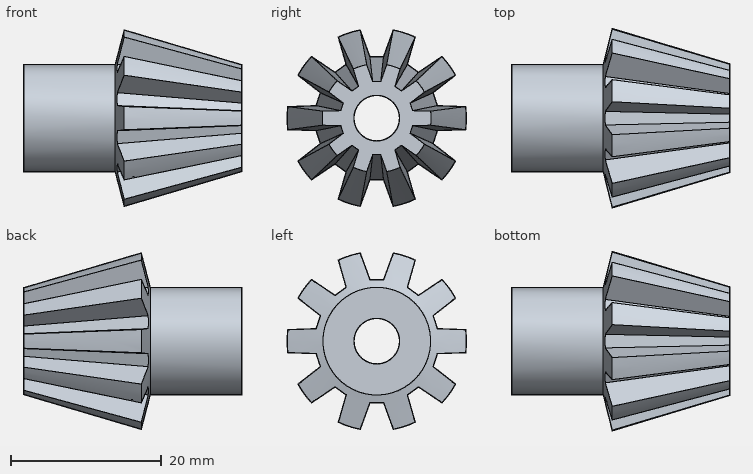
import cadquery as cq

total_length = 28.9
hub_length = 12.13
hub_radius = 7.14
bore_radius = 3.0
tooth_count = 10
tip_radius = 11.9
apex_x = 52.85
back_cone_slope = 0.25

root_radius = 8.17
root_half_width = 0.90
mouth_height = 11.66
mouth_half_width = 2.17

tip_x = hub_length + (tip_radius - hub_radius) * back_cone_slope
root_x = hub_length + (root_radius - hub_radius) * back_cone_slope
small_end_radius = tip_radius * (apex_x - total_length) / (apex_x - tip_x)

cut_margin = 1.0
cutter_height_factor = 1.2


def blank():
    """Hub, back cone and face cone turned in one profile."""
    profile = (
        cq.Workplane("XY")
        .lineTo(0, hub_radius)
        .lineTo(hub_length, hub_radius)
        .lineTo(tip_x, tip_radius)
        .lineTo(total_length, small_end_radius)
        .lineTo(total_length, 0)
        .close()
    )
    return profile.revolve(360, (0, 0, 0), (1, 0, 0))


def space_section(x):
    """Trapezoid (y, z) of a tooth space in the plane at x, shrinking towards the apex."""
    distance = apex_x - x
    floor_y = root_half_width * distance / (apex_x - root_x)
    floor_z = root_radius * distance / (apex_x - root_x)
    mouth_y = mouth_half_width * distance / (apex_x - tip_x)
    mouth_z = mouth_height * distance / (apex_x - tip_x)
    top_z = mouth_z * cutter_height_factor
    flank_slope = (mouth_y - floor_y) / (mouth_z - floor_z)
    top_y = floor_y + (top_z - floor_z) * flank_slope
    return [(-floor_y, floor_z), (floor_y, floor_z), (top_y, top_z), (-top_y, top_z)]


def tooth_space():
    """Tapered cutter for the tooth space at the +Z side."""
    start_x = hub_length - cut_margin
    end_x = total_length + cut_margin
    return (
        cq.Workplane("YZ", origin=(start_x, 0, 0))
        .polyline(space_section(start_x))
        .close()
        .workplane(offset=end_x - start_x)
        .polyline(space_section(end_x))
        .close()
        .loft(ruled=True)
    )


def bore():
    return cq.Workplane("YZ").circle(bore_radius).extrude(total_length)


result = blank().cut(bore())
cutter = tooth_space()
for index in range(tooth_count):
    angle = 360 / tooth_count * index
    result = result.cut(cutter.rotate((0, 0, 0), (1, 0, 0), angle))